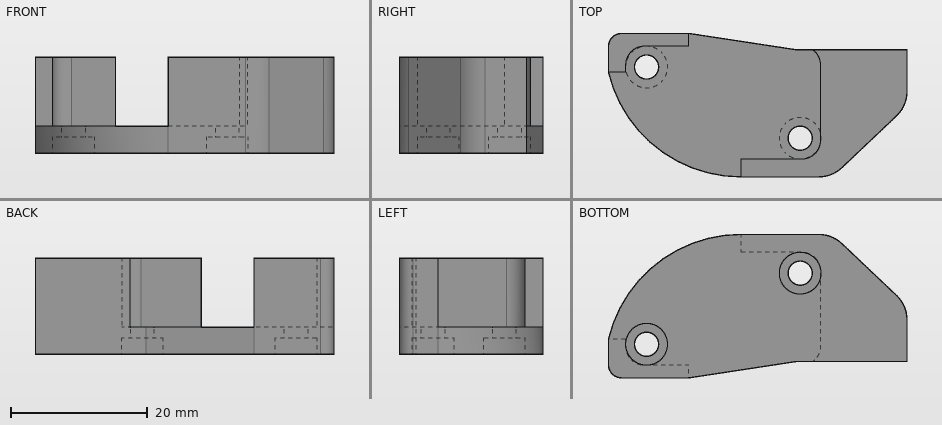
import cadquery as cq
import math

length = 43.75
width = 21.05
height = 14.1
floor_thickness = 4.0

left_edge_start = 15.35
arc_end_x = 19.4
back_corner_radius = 1.95
slope_start_x = 11.75
slope_end_x = 27.55
block_back_y = 18.65
bevel_front_x = 32.75
bevel_right_y = 10.4
bevel_radius = 5.0

pocket_left = 2.55
pocket_right = 31.05
pocket_front = 2.62
pocket_back = 19.15
pocket_radius = 2.75

hole_diameter = 3.5
counterbore_diameter = 6.12
bore_length = 1.57
hole_centers = [(5.6, 16.1), (28.07, 5.7)]

wall_height = height - floor_thickness


def box(x_min, x_max, y_min, y_max):
    """Box standing on the floor, up to the top of the walls."""
    return (
        cq.Workplane("XY", origin=(x_min, y_min, floor_thickness))
        .box(x_max - x_min, y_max - y_min, wall_height, centered=False)
    )


def make_outline_body():
    """Full-height solid with the plan outline of the part."""
    arc_radius = (arc_end_x**2 + left_edge_start**2) / (2 * left_edge_start)
    start_angle = math.atan2(arc_end_x, arc_radius - left_edge_start)
    arc_middle = (
        arc_end_x - arc_radius * math.sin(start_angle / 2),
        arc_radius * (1 - math.cos(start_angle / 2)),
    )
    body = (
        cq.Workplane("XY")
        .moveTo(0, left_edge_start)
        .threePointArc(arc_middle, (arc_end_x, 0))
        .lineTo(bevel_front_x, 0)
        .lineTo(length, bevel_right_y)
        .lineTo(length, block_back_y)
        .lineTo(slope_end_x, block_back_y)
        .lineTo(slope_start_x, width)
        .lineTo(0, width)
        .close()
        .extrude(height)
    )
    middle = height / 2
    for x, y in [(bevel_front_x, 0), (length, bevel_right_y)]:
        nearest = cq.selectors.NearestToPointSelector((x, y, middle))
        body = body.edges("|Z").edges(nearest).fillet(bevel_radius)
    back_corner = cq.selectors.NearestToPointSelector((0, width, middle))
    return body.edges("|Z").edges(back_corner).fillet(back_corner_radius)


def make_wall_region():
    """Space the two walls may fill, with the pocket removed."""
    corner_wall = box(0, slope_start_x, left_edge_start, width)
    end_block = box(arc_end_x, length, 0, block_back_y)
    pocket = box(pocket_left, pocket_right, pocket_front, pocket_back).edges("|Z").fillet(pocket_radius)
    return corner_wall.union(end_block).cut(pocket)


def make_floor_region():
    """Slab that bounds the floor plate."""
    return cq.Workplane("XY").box(length, width, floor_thickness, centered=False)


def make_holes():
    """Through holes, each with a counterbore opening on the underside."""
    centers = cq.Workplane("XY").pushPoints(hole_centers)
    bores = centers.circle(hole_diameter / 2).extrude(floor_thickness)
    counterbores = centers.circle(counterbore_diameter / 2).extrude(floor_thickness - bore_length)
    return bores.union(counterbores)


body = make_outline_body()
floor = body.intersect(make_floor_region())
walls = body.intersect(make_wall_region())
holes = make_holes()

result = floor.union(walls).cut(holes)